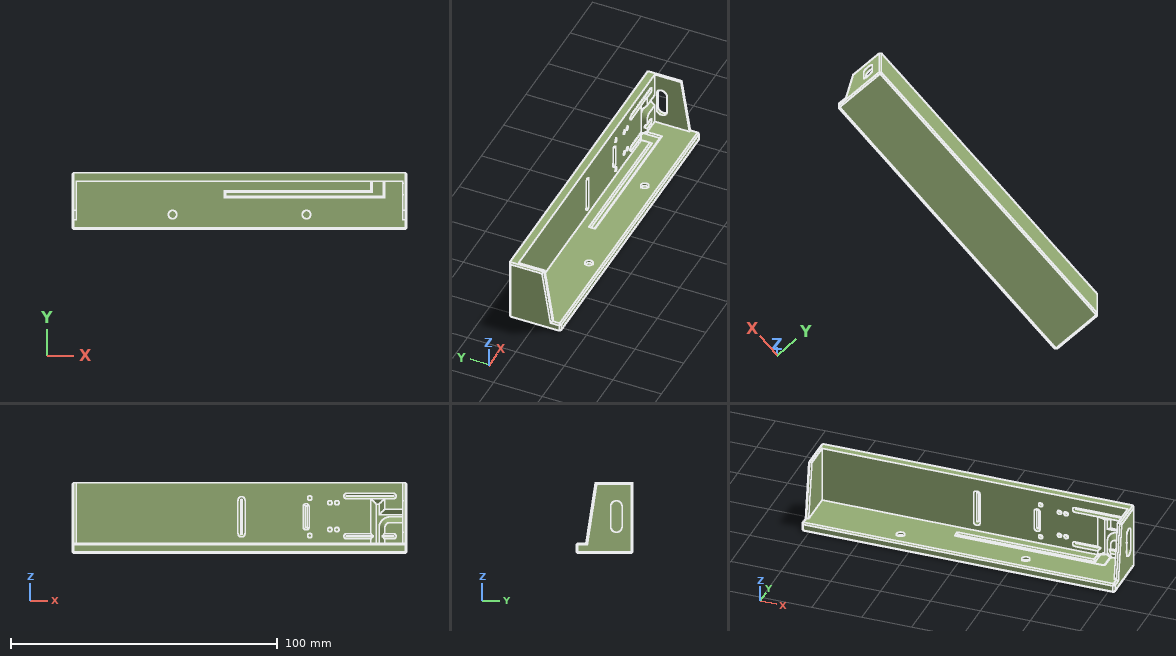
import cadquery as cq

length = 125.5
depth = 21.2
height = 26.5

floor_thick = 3.8
back_thick = 3.3
end_thick = 1.5
edge_chamfer = 0.6
lip_reach = 3.6
end_top_setback = 7.2
back_face = depth - back_thick
end_face = length - end_thick

mid_z = 13.9
upright_mid_z = 13.7

channel_width = 5.3
channel_depth = 2.1
channel_left = 111.9
channel_right = channel_left + channel_width
channel_top = 20.6
branch_bottom = 11.5
branch_top = 16.5
channel_bend_radius = 2.0

track_depth = 0.6
track_width = 2.6
track_left = 57.0
track_front = 11.8

taper_angle = 45

slot_offset_z = 7.5
mount_slot_x = 111.7
mount_slot_length = 19.6
mount_slot_width = 2.0
grooves = [
    (mount_slot_x, mid_z + slot_offset_z, mount_slot_length, mount_slot_width, 0.9, 0),
    (mount_slot_x, mid_z - slot_offset_z, mount_slot_length, mount_slot_width, 0.9, 0),
    (63.5, upright_mid_z, 15, 2.6, 1.0, 90),
    (87.7, upright_mid_z, 9.8, 2.3, 0.8, 90),
]

pilot_dia = 1.6
pilot_depth = 1.6
pilot_pairs = [(89.1, upright_mid_z, 7.0), (96.6, mid_z, 5), (99.2, mid_z, 5)]

floor_hole_dia = 3.1
floor_hole_depth = 1.3
floor_hole_spacing = 50.2
floor_hole_y = 5.5

window_width = 4.3
window_height = 11.8
window_y = 15.0
window_z = 13.8


def chamfered_body():
    profile = [
        (0, 0),
        (depth, 0),
        (depth, height),
        (end_top_setback, height),
        (lip_reach, floor_thick),
        (0, floor_thick),
    ]
    block = cq.Workplane("YZ").polyline(profile).close().extrude(length)
    lip_edge = cq.selectors.NearestToPointSelector((length / 2, 0, floor_thick))
    outer_edges = block.faces("<X or >X or <Z").edges()
    return outer_edges.add(block.edges(lip_edge)).chamfer(edge_chamfer)


def cavity():
    size = (length - 2 * end_thick, back_face, height)
    return cq.Workplane().box(*size, centered=False).translate((end_thick, 0, floor_thick))


def back_wall_plane():
    """Plane on the inner face of the back wall, looking into the wall; local y is -Z."""
    return cq.Workplane(cq.Plane((0, back_face, 0), xDir=(1, 0, 0), normal=(0, 1, 0)))


def back_groove(x, z, slot_length, width, groove_depth, turn):
    sketch = back_wall_plane().center(x, -z).slot2D(slot_length, width, turn)
    return sketch.extrude(groove_depth, taper=taper_angle)


def tapered_channel(left, right, bottom, top):
    """Straight stretch of the back wall channel with sides sloping in towards its floor."""
    sketch = back_wall_plane().center((left + right) / 2, -(bottom + top) / 2)
    return sketch.rect(right - left, top - bottom).extrude(channel_depth, taper=taper_angle)


def channel_bend():
    """Widens the lower inside corner of the channel around a conical bend."""
    center_x = channel_right + channel_bend_radius
    center_z = branch_bottom - channel_bend_radius
    side = channel_bend_radius + channel_depth
    corner = cq.Workplane().box(side, channel_depth, side, centered=False)
    corner = corner.translate((center_x - side, back_face, center_z))
    cone = back_wall_plane().center(center_x, -center_z).circle(channel_bend_radius)
    return corner.cut(cone.extrude(channel_depth, taper=-taper_angle))


def back_channel():
    track_floor = floor_thick - track_depth
    upright = tapered_channel(channel_left, channel_right, track_floor - channel_depth, channel_top)
    branch = tapered_channel(channel_left, end_face + channel_depth, branch_bottom, branch_top)
    keep = cq.Workplane().box(end_face, depth, height, centered=False).translate((0, 0, track_floor))
    return upright.union(branch).union(channel_bend()).intersect(keep)


def tapered_track(left, right, front, back):
    """Straight stretch of the floor channel with sides sloping in towards its bottom."""
    center = ((left + right) / 2, (front + back) / 2, floor_thick)
    sketch = cq.Workplane("XY", origin=center).rect(right - left, back - front)
    return sketch.extrude(-track_depth, taper=taper_angle)


def floor_track():
    run = tapered_track(track_left, channel_right, track_front, track_front + track_width)
    leg = tapered_track(channel_left, channel_right, track_front, back_face + channel_depth)
    return run.union(leg)


def pilot_holes():
    points = [(x, side * offset - z) for x, z, offset in pilot_pairs for side in (-1, 1)]
    return back_wall_plane().pushPoints(points).circle(pilot_dia / 2).extrude(pilot_depth)


def floor_holes():
    points = [(length / 2 + side * floor_hole_spacing / 2, floor_hole_y) for side in (-1, 1)]
    plane = cq.Workplane("XY", origin=(0, 0, floor_thick)).pushPoints(points)
    return plane.circle(floor_hole_dia / 2).extrude(-floor_hole_depth)


def end_window():
    plane = cq.Workplane("YZ", origin=(end_face, window_y, window_z))
    return plane.slot2D(window_height, window_width, 90).extrude(end_thick)


result = chamfered_body().cut(cavity())
result = result.cut(back_channel()).cut(floor_track())
for groove in grooves:
    result = result.cut(back_groove(*groove))
result = result.cut(pilot_holes()).cut(floor_holes()).cut(end_window())